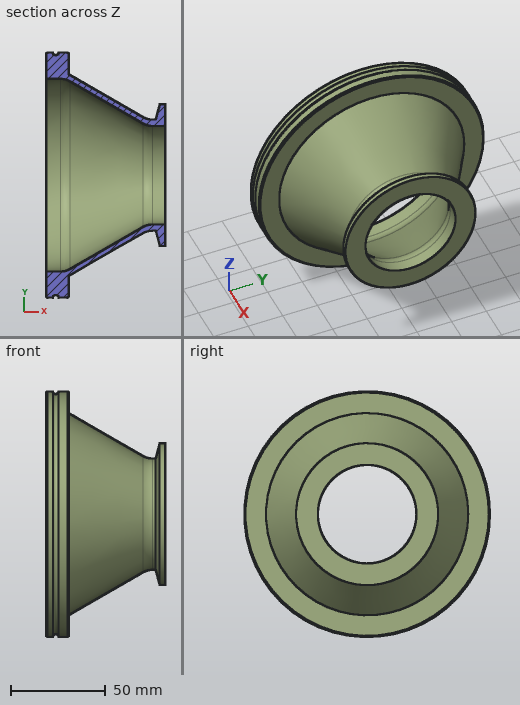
import cadquery as cq
import math

length = 63.0
cone_angle = math.radians(30)

flange_radius = 65.0
flange_thickness = 12.0
edge_chamfer = 0.6
groove_center = 5.1
groove_width = 3.1
groove_depth = 1.4

rim_radius = 37.6
rim_thickness = 3.0
rim_taper_angle = math.radians(15)

large_bore_radius = 51.0
small_bore_radius = 26.0
neck_radius = 29.5
blend_radius = 10.0
blend_end = 56.2

blend_length = blend_radius * math.sin(cone_angle)
blend_drop = blend_radius * (1 - math.cos(cone_angle))
half_blend_length = blend_radius * math.sin(cone_angle / 2)
half_blend_drop = blend_radius * (1 - math.cos(cone_angle / 2))
cone_end = blend_end - blend_length

cone_end_radius = neck_radius + blend_drop
cone_start_radius = cone_end_radius + (cone_end - flange_thickness) * math.tan(cone_angle)

inner_small_radius = small_bore_radius + blend_drop
inner_large_radius = large_bore_radius - blend_drop
inner_cone_length = (inner_large_radius - inner_small_radius) / math.tan(cone_angle)
inner_cone_start = cone_end - inner_cone_length
large_bore_depth = inner_cone_start - blend_length

rim_start = length - rim_thickness
taper_start = rim_start - (rim_radius - neck_radius) * math.tan(rim_taper_angle)

section = (
    cq.Workplane("XY")
    .moveTo(0, large_bore_radius)
    .lineTo(0, flange_radius - edge_chamfer)
    .lineTo(edge_chamfer, flange_radius)
    .lineTo(groove_center - groove_width / 2, flange_radius)
    .threePointArc(
        (groove_center, flange_radius - groove_depth),
        (groove_center + groove_width / 2, flange_radius),
    )
    .lineTo(flange_thickness - edge_chamfer, flange_radius)
    .lineTo(flange_thickness, flange_radius - edge_chamfer)
    .lineTo(flange_thickness, cone_start_radius)
    .lineTo(cone_end, cone_end_radius)
    .threePointArc(
        (blend_end - half_blend_length, neck_radius + half_blend_drop),
        (blend_end, neck_radius),
    )
    .lineTo(taper_start, neck_radius)
    .lineTo(rim_start, rim_radius)
    .lineTo(length, rim_radius)
    .lineTo(length, small_bore_radius)
    .lineTo(blend_end, small_bore_radius)
    .threePointArc(
        (blend_end - half_blend_length, small_bore_radius + half_blend_drop),
        (cone_end, inner_small_radius),
    )
    .lineTo(inner_cone_start, inner_large_radius)
    .threePointArc(
        (large_bore_depth + half_blend_length, large_bore_radius - half_blend_drop),
        (large_bore_depth, large_bore_radius),
    )
    .close()
)

result = section.revolve(360, (0, 0, 0), (1, 0, 0))